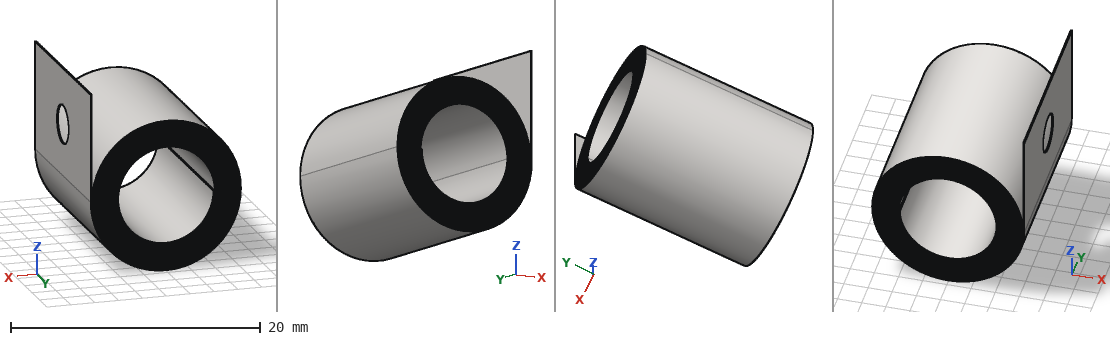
import cadquery as cq

strip_width = 15.0
strip_thickness = 0.11
coil_gap = 0.0002
full_turns = 20

outer_radius = 6.31
pitch = strip_thickness + coil_gap
inner_radius = outer_radius - strip_thickness - full_turns * pitch

tail_length = 9.0
hole_diameter = 3.2
hole_height = 4.3


def spiral_outward(outline, start_radius):
    """Trace one face of the strip from the inner end at -X to the outer end at +X."""
    for turn in range(full_turns + 1):
        radius = start_radius + turn * pitch
        outline = outline.threePointArc((0, -radius), (radius, 0))
        if turn < full_turns:
            upper_radius = radius + pitch / 2
            outline = outline.threePointArc((-pitch / 2, upper_radius), (-radius - pitch, 0))
    return outline


def spiral_inward(outline, start_radius):
    """Trace the other face of the strip from the outer end back to the inner end."""
    for turn in reversed(range(full_turns + 1)):
        radius = start_radius + turn * pitch
        outline = outline.threePointArc((0, -radius), (-radius, 0))
        if turn > 0:
            upper_radius = radius - pitch / 2
            outline = outline.threePointArc((-pitch / 2, upper_radius), (radius - pitch, 0))
    return outline


def wound_strip():
    """Coil and tail as one closed outline in the XZ plane, extruded along Y."""
    outline = cq.Workplane("XZ").moveTo(-inner_radius, 0)
    outline = spiral_outward(outline, inner_radius)
    outline = outline.lineTo(outer_radius - strip_thickness, tail_length)
    outline = outline.lineTo(outer_radius, tail_length)
    outline = outline.lineTo(outer_radius, 0)
    outline = spiral_inward(outline, inner_radius + strip_thickness)
    return outline.close().extrude(strip_width / 2, both=True)


def tail_hole():
    """Cutter for the round hole through the tail only, clear of the coil."""
    return (
        cq.Workplane("YZ", origin=(outer_radius - 2 * strip_thickness, 0, 0))
        .center(0, hole_height)
        .circle(hole_diameter / 2)
        .extrude(3 * strip_thickness)
    )


result = wound_strip().cut(tail_hole())